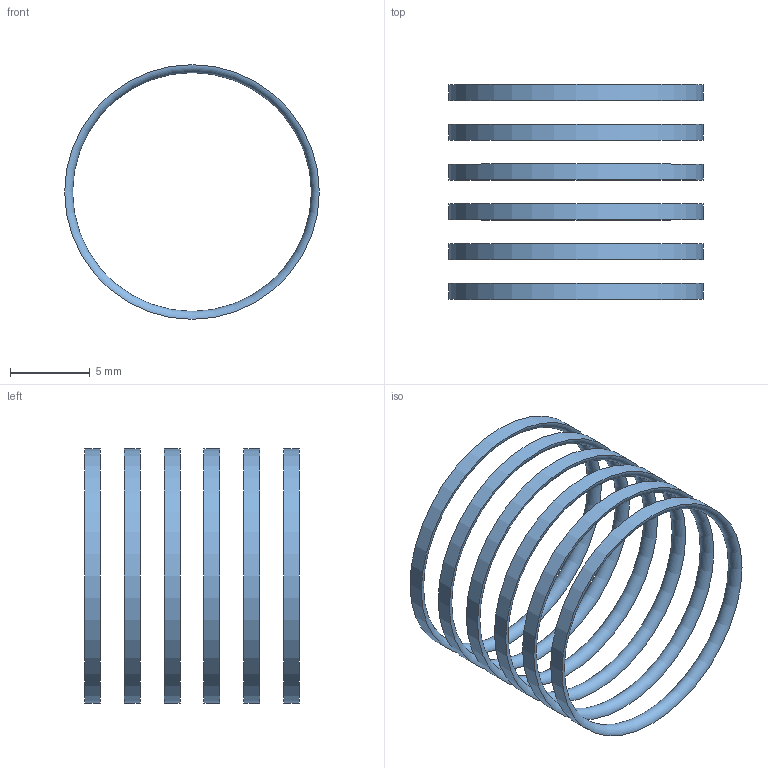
import cadquery as cq

ring_count = 6
ring_pitch = 2.5
ring_width = 1.0
outer_radius = 8.0
half_width = ring_width / 2
rounding_radius = half_width
inner_radius = outer_radius - rounding_radius


def make_ring(center_y):
    """One ring: a half-disc section, flat side outward, revolved about the Y axis.

    The two inner roundings are tangent arcs that meet at the middle of the ring's width.
    """
    section = (
        cq.Workplane("XY")
        .moveTo(outer_radius, center_y - half_width)
        .lineTo(outer_radius, center_y + half_width)
        .radiusArc((inner_radius, center_y), -rounding_radius)
        .radiusArc((outer_radius, center_y - half_width), -rounding_radius)
        .close()
    )
    return section.revolve(360, (0, 0, 0), (0, 1, 0))


first_center_y = -ring_pitch * (ring_count - 1) / 2
rings = [make_ring(first_center_y + index * ring_pitch) for index in range(ring_count)]

result = cq.Compound.makeCompound([ring.val() for ring in rings])